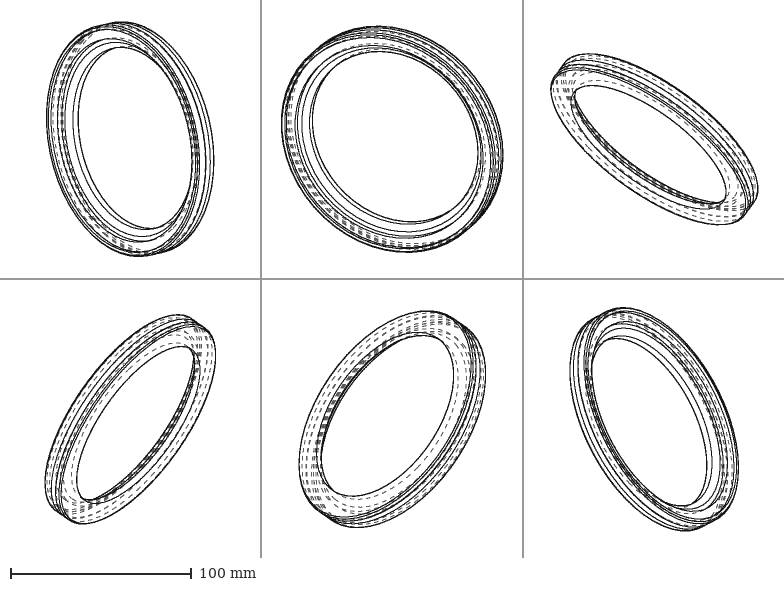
import cadquery as cq

outer_diameter = 130
bore_diameter = 102.2
width = 12.0
edge_chamfer = 0.85

outer_recess_diameter = 125.0
outer_recess_depth = 2.0
inner_recess_diameter = 114.1
inner_recess_depth = 5.1
taper_mouth_diameter = 109.0
taper_depth = 3.0

groove_radius = 1.5
groove_depth = 1.4
groove_center_depth = 7.0

front_y = -width / 2
outer_radius = outer_diameter / 2


def section_point(diameter, depth):
    """Point of the ring section at a diameter and a depth behind the front face."""
    return (diameter / 2, front_y + depth)


def make_blank():
    """Solid disc with chamfered outer edges."""
    disc = cq.Workplane("XZ", origin=(0, width / 2, 0)).circle(outer_radius).extrude(width)
    return disc.edges().chamfer(edge_chamfer)


def make_opening():
    """Stepped front recesses, the taper behind them and the through bore."""
    taper_end = inner_recess_depth + taper_depth
    section = [
        (0, front_y),
        section_point(outer_recess_diameter, 0),
        section_point(outer_recess_diameter, outer_recess_depth),
        section_point(inner_recess_diameter, outer_recess_depth),
        section_point(inner_recess_diameter, inner_recess_depth),
        section_point(taper_mouth_diameter, inner_recess_depth),
        section_point(bore_diameter, taper_end),
        section_point(bore_diameter, width),
        (0, front_y + width),
    ]
    return cq.Workplane("XY").polyline(section).close().revolve(360, (0, 0, 0), (0, 1, 0))


def make_groove():
    """Round-bottomed groove around the outside."""
    center_diameter = outer_diameter + 2 * (groove_radius - groove_depth)
    center = section_point(center_diameter, groove_center_depth)
    return (
        cq.Workplane("XY")
        .center(*center)
        .circle(groove_radius)
        .revolve(360, (-center[0], -center[1], 0), (-center[0], -center[1] + 1.3, 0))
    )


result = make_blank().cut(make_opening()).cut(make_groove())